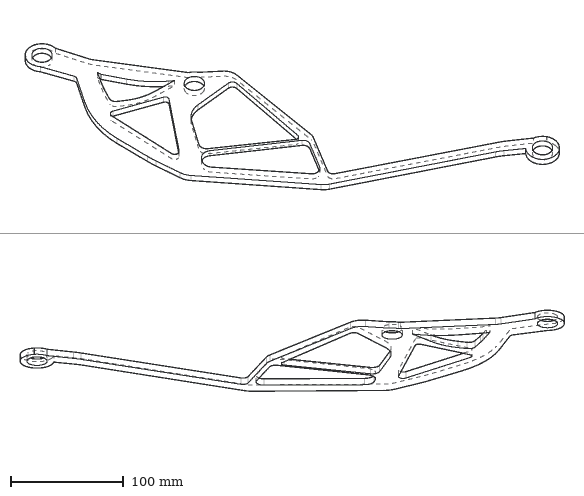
import cadquery as cq
import math

THICKNESS = 6.3
HOLE_DIAMETER = 18.0
LUG_DIAMETER = 30.0
LUG_RADIUS = LUG_DIAMETER / 2
LUG_SPAN = 460.0
PIVOT_OFFSET = 140.0

LEFT_LUG = (0.0, 0.0)
PIVOT = (PIVOT_OFFSET, 0.0)
RIGHT_LUG = (LUG_SPAN, 0.0)
MOUNTS = [LEFT_LUG, PIVOT, RIGHT_LUG]

SHARP = 0.0

BODY = [
    (0.0, 13.5, SHARP),
    (43.2, 6.1, 20.0),
    (130.4, 12.2, SHARP),
    (PIVOT_OFFSET, LUG_RADIUS, SHARP),
    (167.4, 24.6, 15.0),
    (259.1, -38.1, 14.0),
    (286.4, -83.0, 5.0),
    (424.0, -1.0, 60.0),
    (LUG_SPAN, 15.2, SHARP),
    (LUG_SPAN, 1.4, SHARP),
    (424.5, -14.0, 60.0),
    (286.7, -96.7, 20.0),
    (163.0, -116.9, 20.0),
    (129.0, -104.3, 100.0),
    (66.0, -74.0, 90.0),
    (36.6, -19.1, 4.0),
    (0.0, -14.5, SHARP),
]

LARGE_WINDOW = [
    (171.8, 13.1, 5.0),
    (144.8, -36.2, 22.0),
    (167.6, -81.1, 7.0),
    (250.6, -44.3, 3.0),
]

LOWER_WINDOW = [
    (167.8, -84.4, 9.0),
    (256.5, -44.1, 6.0),
    (280.9, -84.2, 7.0),
    (176.3, -101.8, 9.0),
]

TRIANGULAR_WINDOW = [
    (122.0, -21.6, 3.5),
    (75.2, -57.0, 3.5),
    (154.1, -98.1, 4.0),
]

BOWED_WINDOW = [
    (53.3, -8.9, SHARP),
    (57.0, -10.3, SHARP),
    (99.5, -10.4, 95.0),
    (121.9, -1.2, SHARP),
    (100.0, -31.0, 55.0),
    (75.2, -42.5, 6.0),
    (64.0, -27.0, 60.0),
]

WINDOWS = [LARGE_WINDOW, LOWER_WINDOW, TRIANGULAR_WINDOW, BOWED_WINDOW]


def corner_arc(previous, corner, following):
    """Start, middle and end of the arc tangent to both sides of a corner."""
    x, y, radius = corner
    tip = cq.Vector(x, y)
    to_previous = (cq.Vector(*previous[:2]) - tip).normalized()
    to_following = (cq.Vector(*following[:2]) - tip).normalized()
    half_angle = to_previous.getAngle(to_following) / 2
    setback = radius / math.tan(half_angle)
    bisector = (to_previous + to_following).normalized()
    middle = tip + bisector * (radius / math.sin(half_angle) - radius)
    return tip + to_previous * setback, middle, tip + to_following * setback


def rounded_plate(corners):
    """Extrude a closed polygon whose corners carry their own tangent radii."""
    count = len(corners)
    outline = cq.Workplane("XY")
    for i, corner in enumerate(corners):
        start, middle, end = corner_arc(corners[i - 1], corner, corners[(i + 1) % count])
        if i == 0:
            outline = outline.moveTo(start.x, start.y)
        else:
            outline = outline.lineTo(start.x, start.y)
        if corner[2] > SHARP:
            outline = outline.threePointArc((middle.x, middle.y), (end.x, end.y))
    return outline.close().extrude(THICKNESS)


def discs(centres, diameter):
    """Full-thickness cylinders at the given centres."""
    return cq.Workplane("XY").pushPoints(centres).circle(diameter / 2).extrude(THICKNESS)


result = rounded_plate(BODY).union(discs(MOUNTS, LUG_DIAMETER))
for window in WINDOWS:
    result = result.cut(rounded_plate(window))
result = result.cut(discs(MOUNTS, HOLE_DIAMETER))